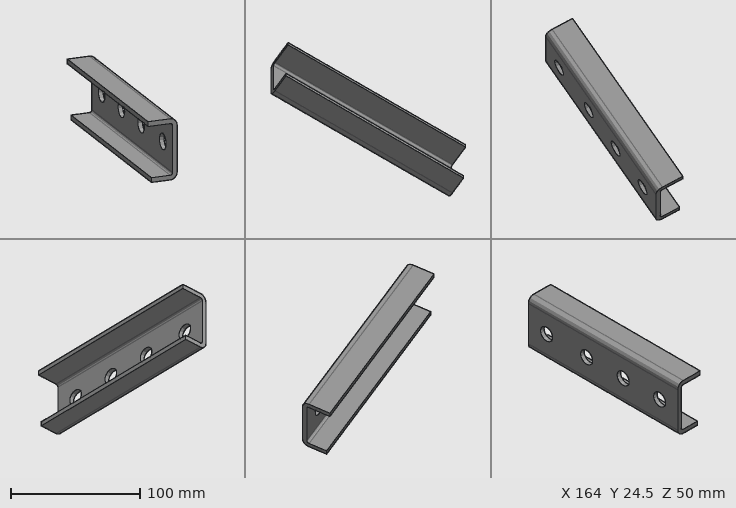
import cadquery as cq

length = 164.0
height = 50.0
top_flange_depth = 24.5
bottom_flange_depth = 21.5

thickness = 4.0
inner_bend_radius = 2.0
outer_bend_radius = inner_bend_radius + thickness

hole_diameter = 13.0
hole_pitch = 40.0
evenly_spaced_holes = 3
first_hole_x = 20.0
last_hole_x = 144.0
hole_positions = [first_hole_x + i * hole_pitch for i in range(evenly_spaced_holes)] + [last_hole_x]
web_inner_center = (length / 2, -thickness, height / 2)


def make_channel():
    """Bent channel along X, open toward -Y, with the back of its web at Y = 0."""
    blank = (
        cq.Workplane("YZ")
        .moveTo(0, 0)
        .lineTo(-bottom_flange_depth, 0)
        .lineTo(-bottom_flange_depth, thickness)
        .lineTo(-thickness, thickness)
        .lineTo(-thickness, height - thickness)
        .lineTo(-top_flange_depth, height - thickness)
        .lineTo(-top_flange_depth, height)
        .lineTo(0, height)
        .close()
        .extrude(length)
    )
    bend_edges = blank.edges("|X")
    rounded = bend_edges.edges(">Y").fillet(outer_bend_radius)
    inner_corners = rounded.faces(cq.selectors.NearestToPointSelector(web_inner_center)).edges("|X")
    return inner_corners.fillet(inner_bend_radius)


def make_holes():
    """Cutters for the row of round holes at mid-height of the web."""
    return (
        cq.Workplane("XZ")
        .pushPoints([(x, height / 2) for x in hole_positions])
        .circle(hole_diameter / 2)
        .extrude(2 * thickness, both=True)
    )


result = make_channel().cut(make_holes())